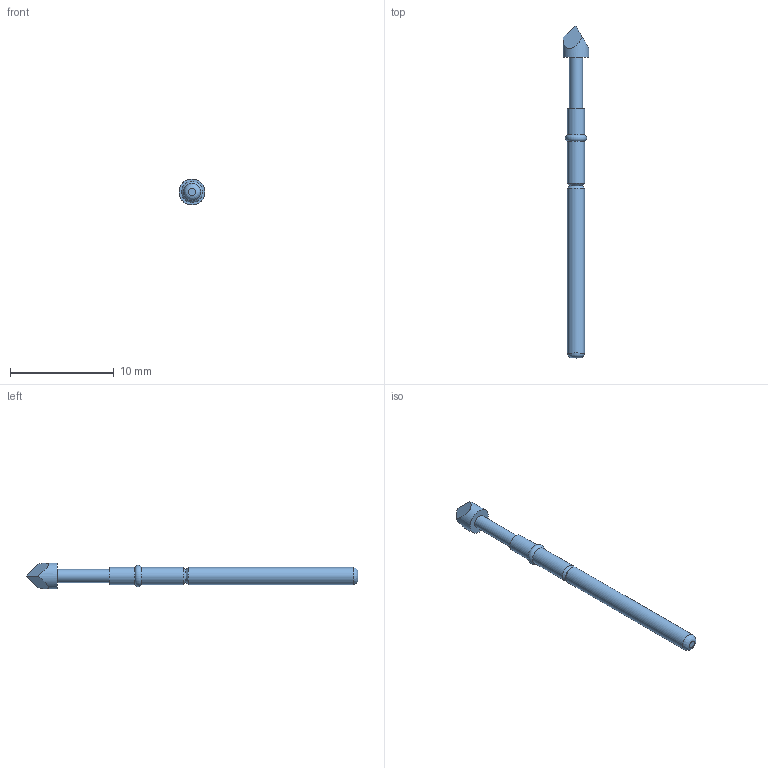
import cadquery as cq
import math

total_length = 32.0

head_diameter = 2.5
head_length = 3.0
point_faces = 3
face_slope = 60.0

stem_diameter = 1.27
stem_length = 5.0

barrel_diameter = 1.65
barrel_length = total_length - head_length - stem_length
tail_round = 0.48

ring_diameter = 2.05
ring_width = 0.6
ring_from_mouth = 2.8

groove_width = 0.44
groove_depth = 0.22
groove_from_mouth = 7.4


def cylinder_along_y(diameter, start, length):
    """Solid cylinder on the Y axis from Y = start towards +Y."""
    plane = cq.Workplane("XZ", origin=(0, start, 0))
    return plane.circle(diameter / 2).extrude(-length)


def revolve_about_y(profile):
    """Full turn of a closed XY profile about the Y axis."""
    return profile.revolve(360, (0, 0, 0), (0, 1, 0))


def make_barrel():
    barrel = cylinder_along_y(barrel_diameter, 0, barrel_length)
    return barrel.faces("<Y").edges().fillet(tail_round)


def make_ring():
    center = barrel_length - ring_from_mouth
    half_width = ring_width / 2
    barrel_radius = barrel_diameter / 2
    profile = (
        cq.Workplane("XY")
        .moveTo(0, center - half_width)
        .lineTo(barrel_radius, center - half_width)
        .threePointArc((ring_diameter / 2, center), (barrel_radius, center + half_width))
        .lineTo(0, center + half_width)
        .close()
    )
    return revolve_about_y(profile)


def make_groove():
    center = barrel_length - groove_from_mouth
    outer = barrel_diameter / 2
    inner = outer - groove_depth
    profile = (
        cq.Workplane("XY")
        .moveTo(outer, center - groove_width / 2)
        .lineTo(inner, center)
        .lineTo(outer, center + groove_width / 2)
        .close()
    )
    return revolve_about_y(profile)


def make_point_cutter(angle):
    """Wedge above one point face; the face looks outwards at `angle` about Y, measured from +X."""
    reach = head_diameter
    drop = reach * math.tan(math.radians(face_slope))
    wedge = (
        cq.Workplane("XY")
        .moveTo(0, total_length)
        .lineTo(reach, total_length - drop)
        .lineTo(reach, total_length)
        .close()
        .extrude(head_diameter, both=True)
    )
    return wedge.rotate((0, 0, 0), (0, 1, 0), angle)


def make_head():
    head = cylinder_along_y(head_diameter, total_length - head_length, head_length)
    for index in range(point_faces):
        head = head.cut(make_point_cutter(index * 360 / point_faces))
    return head


stem = cylinder_along_y(stem_diameter, barrel_length, stem_length)
barrel = make_barrel().union(make_ring()).cut(make_groove())
result = barrel.union(stem).union(make_head())